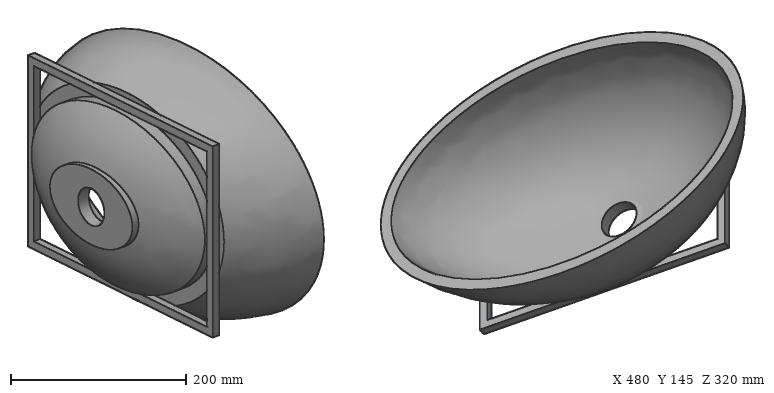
import cadquery as cq

RIM_HALF_X = 240.0
RIM_HALF_Z = 160.0
DEPTH = 145.0
WALL = 14.0

SHELL_SECTIONS = [
    (0.0, RIM_HALF_X, RIM_HALF_Z),
    (48.0, 213.0, 152.5),
    (91.0, 171.0, 127.5),
    (115.0, 133.5, 101.0),
    (135.5, 73.5, 58.5),
    (142.5, 33.5, 27.0),
]

SEAT_DEPTH = 91.0
FRAME_SIZE_X = 324.8
FRAME_SIZE_Z = 241.0
BAR = 10.0
OPENING_X = FRAME_SIZE_X - 2 * BAR
OPENING_Z = FRAME_SIZE_Z - 2 * BAR

FOOT_HALF_X = 72.5
FOOT_HALF_Z = 47.5
FOOT_ROOT = 132.0
DRAIN_DIAMETER = 46.0


def plane_at(depth):
    """XZ sketch plane at a distance from the rim; its normal points toward the foot (-Y)."""
    return cq.Workplane("XZ", origin=(0, DEPTH / 2 - depth, 0))


def shell_form(scale_x=1.0, scale_depth=1.0, scale_z=1.0):
    """Solid domed form, lofted smoothly through the scaled section ellipses."""
    wires = [
        plane_at(depth * scale_depth).ellipse(half_x * scale_x, half_z * scale_z).wires().val()
        for depth, half_x, half_z in SHELL_SECTIONS
    ]
    return cq.Workplane(obj=cq.Solid.makeLoft(wires))


def make_basin():
    outside = shell_form()
    inside = shell_form(1 - WALL / RIM_HALF_X, 1 - WALL / DEPTH, 1 - WALL / RIM_HALF_Z)

    lower_length = DEPTH - SEAT_DEPTH
    trim = (
        plane_at(SEAT_DEPTH)
        .rect(2 * RIM_HALF_X, 2 * RIM_HALF_Z)
        .ellipse(OPENING_X / 2, OPENING_Z / 2)
        .extrude(lower_length)
    )
    foot = plane_at(FOOT_ROOT).ellipse(FOOT_HALF_X, FOOT_HALF_Z).extrude(DEPTH - FOOT_ROOT)
    drain = plane_at(0).circle(DRAIN_DIAMETER / 2).extrude(DEPTH)
    return outside.cut(trim).union(foot).cut(inside).cut(drain).solids()


def make_frame():
    return (
        plane_at(SEAT_DEPTH)
        .rect(FRAME_SIZE_X, FRAME_SIZE_Z)
        .rect(OPENING_X, OPENING_Z)
        .extrude(BAR)
    )


basin = make_basin()
frame = make_frame()

result = cq.Compound.makeCompound([basin.val(), frame.val()])